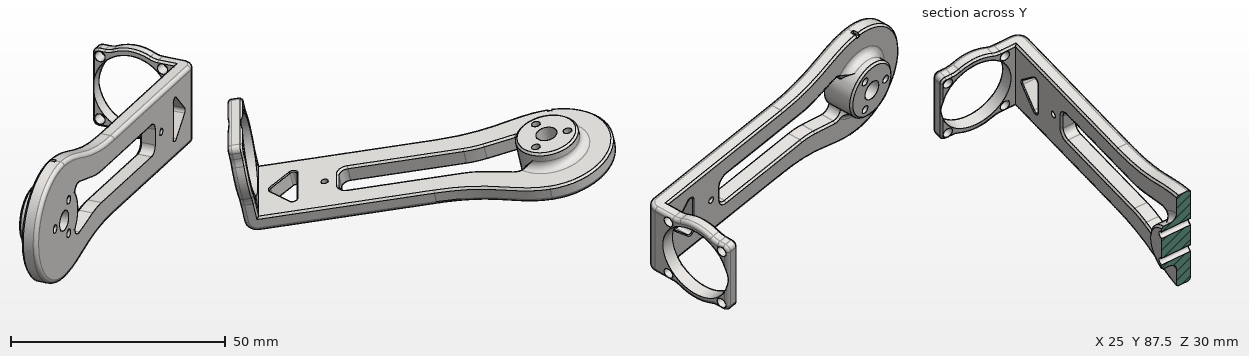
import cadquery as cq
import math

total_width = 25.0
total_length = 87.5
arm_thickness = 4.0
arm_width = 19.95
head_diameter = 30.0
bend_radius = 3.0
inner_chamfer = 0.5
outer_fillet = 1.0

swell_start = 27.5
swell_arm_control = 12.6
swell_head_control = 9.1

flange_thickness = 3.5
flange_corner_radius = 1.5
ring_outer_diameter = 22.9
ring_bore_diameter = 19.5
ring_blend_radius = 5.0
mount_hole_diameter = 2.6
mount_hole_offset = 8.05

boss_diameter = 15.0
boss_height = 4.2
boss_fillet = 2.0
boss_chamfer = 0.5
shaft_hole_diameter = 5.0
screw_hole_diameter = 2.0
screw_circle_radius = 5.0
screw_count = 3

mouth_angle = 45
pin_hole_diameter = 1.7
pin_hole_place = 53.4
slot_end = 50.05
slot_half_width = 4.1
slot_head_end = 5.8
slot_flare_start = 18.0
slot_flare_angle = 14
slot_flare_radius = 20.0
slot_corner_radius = 2.1
slot_tip_radius = 2.1
window_base = 59.9
window_tip = 66.85
window_half_height = 7.0
window_corner_radius = 1.0
window_chamfer = 0.3

notch_width = 1.0
notch_length = 1.75
notch_depth = 0.9

half_width = arm_width / 2
head_radius = head_diameter / 2
ring_outer_radius = ring_outer_diameter / 2
boss_radius = boss_diameter / 2
flange_outer = total_length - head_radius
flange_inner = flange_outer - flange_thickness
flange_tip = arm_thickness - total_width
ring_center = flange_tip + half_width


def arm_plate():
    """Straight arm that swells smoothly into the round head."""
    return (
        cq.Workplane("YZ")
        .moveTo(flange_outer, half_width)
        .lineTo(swell_start, half_width)
        .bezier(
            [(swell_arm_control, half_width), (swell_head_control, head_radius), (0, head_radius)],
            includeCurrent=True,
        )
        .threePointArc((-head_radius, 0), (0, -head_radius))
        .bezier(
            [
                (swell_head_control, -head_radius),
                (swell_arm_control, -half_width),
                (swell_start, -half_width),
            ],
            includeCurrent=True,
        )
        .lineTo(flange_outer, -half_width)
        .close()
        .extrude(arm_thickness)
    )


def flange_plate():
    """Flange whose straight edges blend into a round bulge above and below the bore."""
    blend_z = half_width + ring_blend_radius
    center_distance = ring_outer_radius + ring_blend_radius
    blend_x = math.sqrt(center_distance**2 - blend_z**2)
    touch_x = blend_x * ring_outer_radius / center_distance
    touch_z = blend_z * ring_outer_radius / center_distance
    root = total_width - half_width

    return (
        cq.Workplane("XZ", origin=(ring_center, flange_outer, 0))
        .moveTo(root, half_width)
        .lineTo(blend_x, half_width)
        .radiusArc((touch_x, touch_z), ring_blend_radius)
        .threePointArc((0, ring_outer_radius), (-touch_x, touch_z))
        .radiusArc((-blend_x, half_width), ring_blend_radius)
        .lineTo(-half_width, half_width)
        .lineTo(-half_width, -half_width)
        .lineTo(-blend_x, -half_width)
        .radiusArc((-touch_x, -touch_z), ring_blend_radius)
        .threePointArc((0, -ring_outer_radius), (touch_x, -touch_z))
        .radiusArc((blend_x, -half_width), ring_blend_radius)
        .lineTo(root, -half_width)
        .close()
        .extrude(flange_thickness)
        .edges("|Y and <X")
        .fillet(flange_corner_radius)
    )


def bracket_body():
    """Arm and flange joined by a rounded bend, with all rims eased."""
    body = arm_plate().union(flange_plate()).clean()
    body = body.edges("|Z and >X and >Y").fillet(bend_radius)
    body = body.faces(">Y").edges("<X").fillet(outer_fillet)
    head_rim = cq.selectors.NearestToPointSelector((0, -head_radius, 0))
    flange_rim = cq.selectors.NearestToPointSelector((flange_tip, flange_inner, 0))
    return body.edges(head_rim + flange_rim).chamfer(inner_chamfer)


def axial_cylinder(diameter, place=0):
    """Cylinder along X through the boss and the arm, centred at Y = place."""
    return (
        cq.Workplane("YZ", origin=(-boss_height, place, 0))
        .circle(diameter / 2)
        .extrude(boss_height + arm_thickness)
    )


def boss():
    """Round boss that also runs through the full thickness of the arm."""
    return axial_cylinder(boss_diameter).faces("<X").chamfer(boss_chamfer)


def boss_root():
    """Ring of material with the concave fillet between the arm and the boss."""
    sag = boss_fillet * (1 - math.sqrt(0.5))
    return (
        cq.Workplane("XY")
        .lineTo(-boss_fillet, 0)
        .lineTo(-boss_fillet, boss_radius)
        .threePointArc((-sag, boss_radius + sag), (0, boss_radius + boss_fillet))
        .close()
        .revolve(360, (0, 0, 0), (1, 0, 0))
    )


def opening_cutter(outline, chamfer, rise):
    """Through cutter with a chamfered mouth that starts at X = chamfer and opens out to X = -rise."""
    straight = (
        cq.Workplane("YZ", origin=(-boss_height, 0, 0))
        .placeSketch(outline)
        .extrude(boss_height + arm_thickness)
    )
    mouth = (
        cq.Workplane("YZ", origin=(chamfer, 0, 0))
        .placeSketch(outline)
        .extrude(-(chamfer + rise), taper=-mouth_angle)
    )
    return straight.union(mouth)


def slot_cutter():
    """Long slot that flares towards the head and ends inside the outline of the boss."""
    flare_rise = (slot_flare_start - slot_head_end) * math.tan(math.radians(slot_flare_angle))
    tip_half_width = slot_half_width + flare_rise
    flare_corners = cq.selectors.BoxSelector(
        (slot_flare_start - slot_corner_radius, -half_width, -half_width),
        (slot_flare_start + slot_corner_radius, half_width, half_width),
    )
    outline = (
        cq.Sketch()
        .polygon(
            [
                (slot_end, slot_half_width),
                (slot_flare_start, slot_half_width),
                (slot_head_end, tip_half_width),
                (slot_head_end, -tip_half_width),
                (slot_flare_start, -slot_half_width),
                (slot_end, -slot_half_width),
                (slot_end, slot_half_width),
            ]
        )
        .vertices(">X")
        .fillet(slot_corner_radius)
        .reset()
        .vertices("<X")
        .fillet(slot_tip_radius)
        .reset()
        .vertices(flare_corners)
        .fillet(slot_flare_radius)
    )
    return opening_cutter(outline, inner_chamfer, boss_fillet)


def window_cutter():
    """Triangular window with its point towards the flange."""
    outline = (
        cq.Sketch()
        .polygon(
            [
                (window_tip, 0),
                (window_base, window_half_height),
                (window_base, -window_half_height),
                (window_tip, 0),
            ]
        )
        .vertices()
        .fillet(window_corner_radius)
    )
    return opening_cutter(outline, window_chamfer, window_chamfer)


def screw_holes():
    """Ring of screw holes through the boss, the first one on the -Y side of the axis."""
    return (
        cq.Workplane("YZ", origin=(-boss_height, 0, 0))
        .polarArray(screw_circle_radius, 180, 360, screw_count)
        .circle(screw_hole_diameter / 2)
        .extrude(boss_height + arm_thickness)
    )


def flange_holes():
    """Large bore of the ring with four mounting holes around it."""
    flange_plane = cq.Workplane("XZ", origin=(ring_center, flange_outer, 0))
    bore = flange_plane.circle(ring_bore_diameter / 2).extrude(flange_thickness)
    mounts = (
        flange_plane.rect(2 * mount_hole_offset, 2 * mount_hole_offset, forConstruction=True)
        .vertices()
        .circle(mount_hole_diameter / 2)
        .extrude(flange_thickness)
    )
    return bore.union(mounts)


def index_notch():
    """Small groove at the top of the head rim, open to the inner face."""
    return (
        cq.Workplane("XY", origin=(0, 0, head_radius))
        .box(2 * notch_length, notch_width, 2 * notch_depth)
    )


result = (
    bracket_body()
    .union(boss_root())
    .cut(slot_cutter())
    .union(boss())
    .cut(window_cutter())
    .cut(axial_cylinder(pin_hole_diameter, pin_hole_place))
    .cut(axial_cylinder(shaft_hole_diameter))
    .cut(screw_holes())
    .cut(flange_holes())
    .cut(index_notch())
)